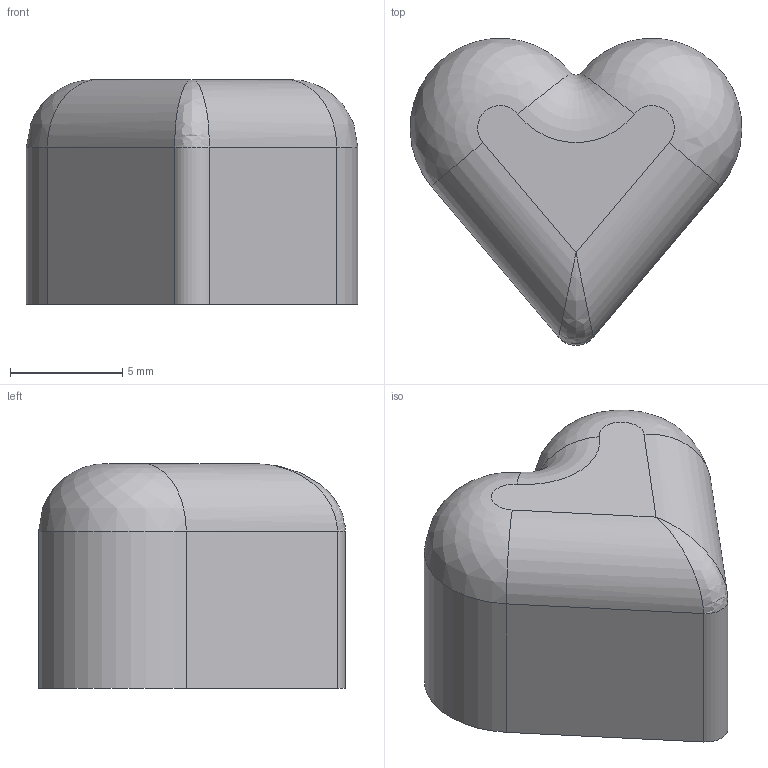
import cadquery as cq
import math

width = 14.76
length = 13.66
height = 10.0
lobe_radius = 4.0
tip_radius = 1.0
notch_radius = 0.3
top_fillet = 3.0

lobe_x = width / 2 - lobe_radius
lobe_y = length - lobe_radius

centre_rise = lobe_y - tip_radius
half_angle = math.atan2(lobe_x, centre_rise) + math.asin(
    (lobe_radius - tip_radius) / math.hypot(lobe_x, centre_rise)
)
side_normal = (math.cos(half_angle), -math.sin(half_angle))

sharp_tip_y = tip_radius - tip_radius / math.sin(half_angle)
side_end = (lobe_x + lobe_radius * side_normal[0], lobe_y + lobe_radius * side_normal[1])

notch_y = lobe_y + math.sqrt((lobe_radius + notch_radius) ** 2 - lobe_x**2)
notch_share = lobe_radius / (lobe_radius + notch_radius)
notch_end = (lobe_x * (1 - notch_share), lobe_y + (notch_y - lobe_y) * notch_share)
notch_bottom = (0, notch_y - notch_radius)

diagonal = math.sqrt(0.5)
lobe_mid = (lobe_x + lobe_radius * diagonal, lobe_y + lobe_radius * diagonal)


def mirrored(point):
    """Return the matching point on the left half of the heart."""
    return (-point[0], point[1])


def heart_block():
    """Heart-shaped prism with a sharp tip."""
    return (
        cq.Workplane("XY")
        .moveTo(0, sharp_tip_y)
        .lineTo(*side_end)
        .threePointArc(lobe_mid, notch_end)
        .threePointArc(notch_bottom, mirrored(notch_end))
        .threePointArc(mirrored(lobe_mid), mirrored(side_end))
        .close()
        .extrude(height)
    )


def round_top(body):
    """Round the whole upper rim, leaving a mitred ridge above the tip."""
    return body.faces(">Z").edges().fillet(top_fillet)


def round_tip(body):
    """Round the upright tip edge together with the ridge that continues it."""
    tip_edge = cq.selectors.NearestToPointSelector((0, sharp_tip_y, (height - top_fillet) / 2))
    return body.edges(tip_edge).fillet(tip_radius)


result = round_tip(round_top(heart_block())).solids()